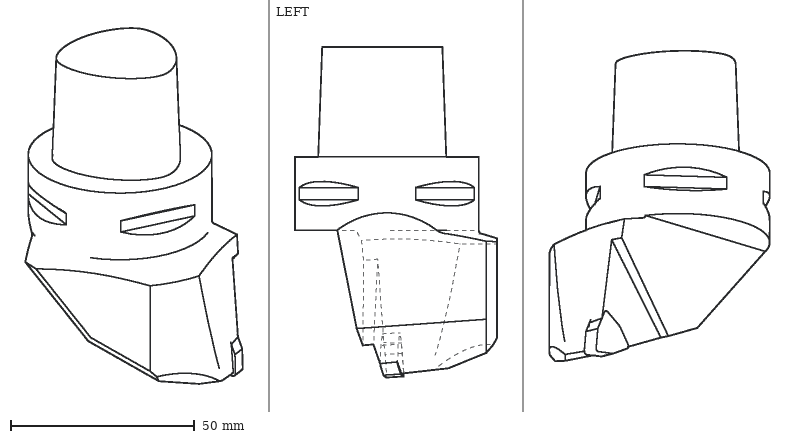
import cadquery as cq
import math


flange_radius = 25.0
flange_height = 20.0

slot_count = 4
slot_first_angle = 45
slot_mid_z = -flange_height / 2
slot_floor_distance = 22.3
slot_floor_height = 3.3
slot_mouth_height = 6.7

shank_height = 30.0
shank_base_radius = 17.5
shank_top_radius = 16.4
lobe_depth = 1.3
lobe_count = 3
shank_curve_points = 36

neck_fillet = 0.9
head_radius = 35.0
shoulder_slope = 0.3
blank_bottom_z = -67.5
front_face_y = -30.0
chamfer_size = 3.0

back_slope_point = (-flange_radius, 0, -15.2)
back_slope_normal = (-1.178, 0, -1)
underside_point = (0, 0, -45.5)
underside_normal = (-0.455, -0.044, -1)
rear_face_point = (-21.0, 13.5, -flange_height)
rear_face_normal = (0.12, 1, -0.095)
end_face_point = (31.2, 7.1, -22.95)
end_face_normal = (1, -0.091, 0.1)
corner_relief_point = (24.7, -24.8, -51.2)
corner_relief_normal = (0.93, -1.15, -1)
tip_relief_point = (33.3, -4.4, -58.8)
tip_relief_normal = (0.04, -0.12, -1)

insert_inscribed_radius = 4.8
insert_thickness = 4.8
insert_corner_count = 3
insert_corner_angle = 80
insert_corner_fillet = 0.8
insert_center = (30.1, 1.1, -54.7)
insert_tip_direction = -47
rake_normal = (0.13, 1, -0.061)

pocket_wall_top = (32.4, -26.1)
pocket_wall_bottom = (11.25, -51.3)
pocket_depth = 9.0

trim_size = 270.0


def trim(body, point, normal):
    """Remove everything on the outward side of a plane."""
    plane = cq.Plane(origin=point, normal=normal)
    waste = cq.Workplane(plane).rect(trim_size, trim_size).extrude(trim_size)
    return body.cut(waste)


def trim_chamfer(body, face_point, face_normal):
    """Bevel the edge between a face and the flat front face equally on both."""
    px, py, pz = face_point
    normal = cq.Vector(*face_normal).normalized()
    edge_y = front_face_y + chamfer_size
    edge_z = pz - (edge_y - py) * normal.y / normal.z
    bevel_normal = normal + cq.Vector(0, -1, 0)
    return trim(body, (px, edge_y, edge_z), bevel_normal.toTuple())


def lobed_point(mean_radius, angle):
    """Point of a constant-width lobed curve with a lobe on +Y."""
    phase = lobe_count * (angle - math.pi / 2)
    support = mean_radius + lobe_depth * math.cos(phase)
    slope = -lobe_count * lobe_depth * math.sin(phase)
    x = support * math.cos(angle) - slope * math.sin(angle)
    y = support * math.sin(angle) + slope * math.cos(angle)
    return (x, y)


def lobed_curve(mean_radius):
    step = 2 * math.pi / shank_curve_points
    return [lobed_point(mean_radius, i * step) for i in range(shank_curve_points)]


def make_shank():
    base = cq.Workplane("XY").spline(lobed_curve(shank_base_radius), periodic=True).close()
    top = base.workplane(offset=shank_height).spline(lobed_curve(shank_top_radius), periodic=True).close()
    return top.loft(ruled=True, combine=True)


def make_gripper_slots():
    """Trapezoidal slots with a flat floor and flaring flanks."""
    flare = (slot_mouth_height - slot_floor_height) / 2
    mouth_depth = flange_radius - slot_floor_distance
    reach = 2 * mouth_depth
    floor_half = slot_floor_height / 2
    outer_half = floor_half + flare * reach / mouth_depth
    slot = (
        cq.Workplane("XZ")
        .moveTo(slot_floor_distance, slot_mid_z - floor_half)
        .lineTo(slot_floor_distance + reach, slot_mid_z - outer_half)
        .lineTo(slot_floor_distance + reach, slot_mid_z + outer_half)
        .lineTo(slot_floor_distance, slot_mid_z + floor_half)
        .close()
        .extrude(flange_radius, both=True)
    )
    spacing = 360 / slot_count
    return [
        slot.rotate((0, 0, 0), (0, 0, 1), slot_first_angle + i * spacing)
        for i in range(slot_count)
    ]


def make_head():
    """Turned blank with a conical shoulder, trimmed by the head's flat faces."""
    neck_radius = flange_radius + neck_fillet
    neck_z = -flange_height - neck_fillet
    rim_z = neck_z - shoulder_slope * (head_radius - neck_radius)
    fillet_mid = neck_fillet * (1 - math.sqrt(0.5))
    head = (
        cq.Workplane("XZ")
        .moveTo(0, -flange_height)
        .lineTo(flange_radius, -flange_height)
        .threePointArc(
            (flange_radius + fillet_mid, neck_z + fillet_mid),
            (neck_radius, neck_z),
        )
        .lineTo(head_radius, rim_z)
        .lineTo(head_radius, blank_bottom_z)
        .lineTo(0, blank_bottom_z)
        .close()
        .revolve(360, (0, 0, 0), (0, 1, 0))
    )
    head = trim(head, (0, front_face_y, 0), (0, -1, 0))
    head = trim(head, rear_face_point, rear_face_normal)
    head = trim(head, end_face_point, end_face_normal)
    head = trim(head, underside_point, underside_normal)
    head = trim(head, corner_relief_point, corner_relief_normal)
    head = trim(head, tip_relief_point, tip_relief_normal)
    head = trim_chamfer(head, back_slope_point, back_slope_normal)
    return trim_chamfer(head, underside_point, underside_normal)


def rake_plane():
    """Plane of the rake face: local x along +X, local y along +Z, normal into the head."""
    nx, ny, nz = rake_normal
    return cq.Plane(origin=insert_center, xDir=(ny, -nx, 0), normal=(-nx, -ny, -nz))


def make_chip_pocket():
    cx, _, cz = insert_center
    top_x, top_z = (pocket_wall_top[0] - cx, pocket_wall_top[1] - cz)
    bottom_x, bottom_z = (pocket_wall_bottom[0] - cx, pocket_wall_bottom[1] - cz)
    run_x = top_x - bottom_x
    run_z = top_z - bottom_z
    return (
        cq.Workplane(rake_plane())
        .moveTo(bottom_x - run_x, bottom_z - run_z)
        .lineTo(top_x + run_x, top_z + run_z)
        .lineTo(top_x + run_x, bottom_z - run_z)
        .close()
        .extrude(-pocket_depth)
    )


def make_insert():
    sharp_distance = insert_inscribed_radius / math.sin(math.radians(insert_corner_angle / 2))
    vertex_count = 2 * insert_corner_count
    angle_sum = 180 * (vertex_count - 2)
    blunt_angle = angle_sum / insert_corner_count - insert_corner_angle
    blunt_distance = insert_inscribed_radius / math.sin(math.radians(blunt_angle / 2))
    outline = []
    for i in range(vertex_count):
        distance = sharp_distance if i % 2 == 0 else blunt_distance
        angle = math.radians(insert_tip_direction + i * 360 / vertex_count)
        outline.append((distance * math.cos(angle), distance * math.sin(angle)))
    plane = rake_plane()
    plate = cq.Workplane(plane).polyline(outline).close().extrude(insert_thickness)
    for x, y in outline[::2]:
        corner_edge = cq.selectors.NearestToPointSelector(
            plane.toWorldCoords((x, y, insert_thickness / 2)).toTuple()
        )
        plate = plate.edges(corner_edge).fillet(insert_corner_fillet)
    return plate


def make_holder(insert):
    flange = cq.Workplane("XY").circle(flange_radius).extrude(-flange_height)
    for slot in make_gripper_slots():
        flange = flange.cut(slot)
    holder = flange.union(make_head()).union(make_shank())
    holder = trim(holder, back_slope_point, back_slope_normal)
    return holder.cut(make_chip_pocket()).cut(insert)


cutting_insert = make_insert()
holder = make_holder(cutting_insert)
result = cq.Compound.makeCompound([holder.val(), cutting_insert.val()])